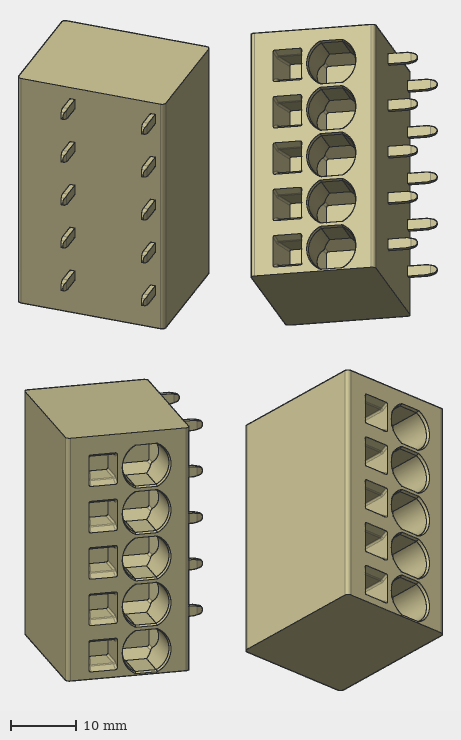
import math

import cadquery as cq


body_width = 24.15
body_depth = 19.65
body_height = 39.3
corner_radius = 0.65

pole_count = 5
pole_pitch = 7.5
first_pole_z = pole_pitch / 2
pole_levels = [first_pole_z + i * pole_pitch for i in range(pole_count)]

bore_y = 6.9
bore_radius = 3.7
bore_half_height = 3.3
lead_in_width = 0.18
lead_in_depth = 0.5
bore_depth = 6.0
funnel_angle = 30
funnel_floor_y = 5.3
funnel_floor_z = 4.15
funnel_corner_radius = 0.4

slot_near_y = 11.55
slot_width = 4.5
slot_height = 5.1
slot_depth = 5.4
slot_floor_width = 3.15
slot_bevel_depth = 1.25
slot_throat_height = 3.8
slot_bend_radius = 0.7
slot_corner_radius = 0.3

pin_columns = (9.05, 22.25)
pin_rise = 2.79
pin_thickness = 0.8
pin_width = 1.63
pin_length = 4.55
pin_root = 1.0
pin_taper_start = 3.05
pin_nose_start = 4.08
pin_nose_half_width = 0.6
pin_flank_start = 3.6
pin_tip_thickness = 0.3


def make_body():
    body = cq.Workplane("XY").box(body_width, body_depth, body_height, centered=False)
    return body.edges("|Z").fillet(corner_radius)


def bore_outline(margin=0.0):
    """Circle with flat top and bottom, on the wire-entry face, grown by a margin."""
    radius = bore_radius + margin
    half_height = bore_half_height + margin
    half_flat = math.sqrt(radius**2 - half_height**2)
    return (
        cq.Workplane("YZ", origin=(0, bore_y, 0))
        .moveTo(-half_flat, -half_height)
        .lineTo(half_flat, -half_height)
        .threePointArc((radius, 0), (half_flat, half_height))
        .lineTo(-half_flat, half_height)
        .threePointArc((-radius, 0), (-half_flat, -half_height))
        .close()
    )


def make_wire_entry():
    """Cutter for one wire entry, centred on Z = 0."""
    funnel_closing = (2 * bore_half_height - funnel_floor_z) / 2
    funnel_depth = funnel_closing / math.tan(math.radians(funnel_angle))
    full_depth = bore_depth + funnel_depth
    bore = bore_outline().extrude(bore_depth)
    funnel = (
        cq.Workplane("YZ", origin=(bore_depth, bore_y, 0))
        .rect(funnel_floor_y + 2 * funnel_closing, 2 * bore_half_height)
        .workplane(offset=funnel_depth)
        .rect(funnel_floor_y, funnel_floor_z)
        .loft(ruled=True)
        .edges("not(<X or >X)")
        .fillet(funnel_corner_radius)
        .intersect(bore_outline().extrude(full_depth))
    )
    lead_in_angle = math.degrees(math.atan2(lead_in_width, lead_in_depth))
    lead_in = bore_outline(lead_in_width).extrude(lead_in_depth, taper=lead_in_angle)
    return bore.union(funnel).union(lead_in)


def make_release_slot():
    """Cutter for one release slot, centred on Z = 0."""
    plan = (
        cq.Workplane("XY", origin=(0, slot_near_y, -slot_height / 2))
        .polyline([(0, 0), (0, slot_width), (slot_depth, slot_floor_width), (slot_depth, 0)])
        .close()
        .extrude(slot_height)
    )
    mouth_half = slot_height / 2
    throat_half = slot_throat_height / 2
    elevation = (
        cq.Workplane("XZ", origin=(0, slot_near_y, 0))
        .polyline(
            [
                (0, -mouth_half),
                (slot_bevel_depth, -throat_half),
                (slot_depth, -throat_half),
                (slot_depth, throat_half),
                (slot_bevel_depth, throat_half),
                (0, mouth_half),
            ]
        )
        .close()
        .extrude(-slot_width)
    )
    elevation = elevation.edges("|Y").edges("not(<X or >X)").fillet(slot_bend_radius)
    slot = plan.intersect(elevation)
    return slot.edges("not(|Y or |Z)").fillet(slot_corner_radius)


def make_pin():
    """One solder pin at X = 0, Z = 0, pointing towards -Y with a flattened, rounded tip."""
    half_width = pin_width / 2
    profile = (
        cq.Workplane("YZ", origin=(-pin_thickness / 2, 0, 0))
        .moveTo(pin_root, -half_width)
        .lineTo(-pin_taper_start, -half_width)
        .lineTo(-pin_nose_start, -pin_nose_half_width)
        .threePointArc((-pin_length, 0), (-pin_nose_start, pin_nose_half_width))
        .lineTo(-pin_taper_start, half_width)
        .lineTo(pin_root, half_width)
        .close()
        .extrude(pin_thickness)
    )
    half_thick = pin_thickness / 2
    half_tip = pin_tip_thickness / 2
    flanks = (
        cq.Workplane("XY", origin=(0, 0, -half_width))
        .polyline(
            [
                (-half_thick, pin_root),
                (-half_thick, -pin_flank_start),
                (-half_tip, -pin_length),
                (half_tip, -pin_length),
                (half_thick, -pin_flank_start),
                (half_thick, pin_root),
            ]
        )
        .close()
        .extrude(pin_width)
    )
    return profile.intersect(flanks)


def build_terminal_block():
    block = make_body()
    wire_entry = make_wire_entry()
    release_slot = make_release_slot()
    pin = make_pin()
    for level in pole_levels:
        block = block.cut(wire_entry.translate((0, 0, level)))
        block = block.cut(release_slot.translate((0, 0, level)))
        for column in pin_columns:
            block = block.union(pin.translate((column, 0, level + pin_rise)))
    return block


result = build_terminal_block()